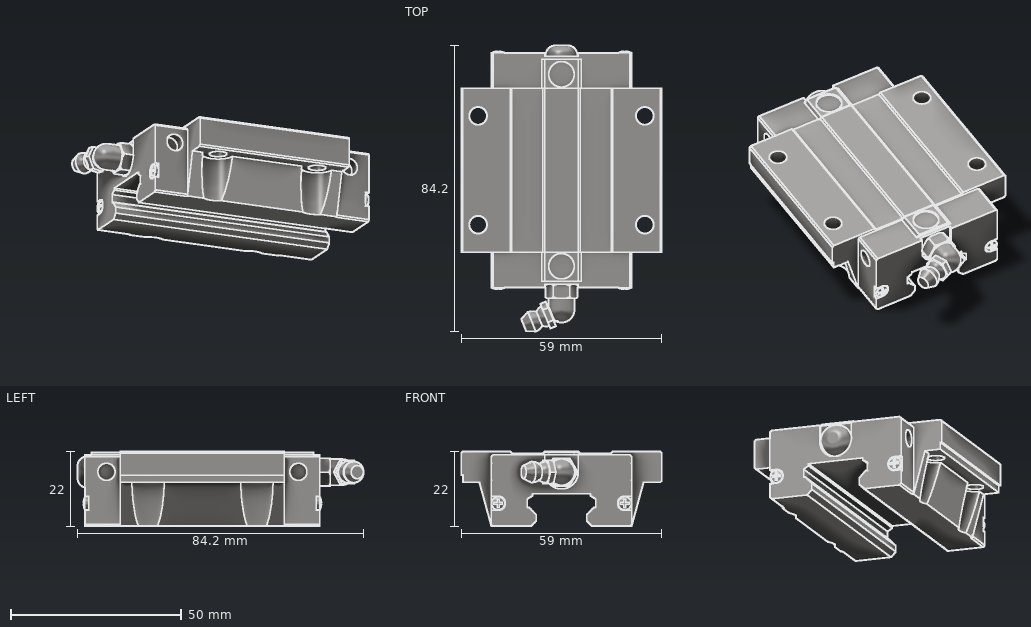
import cadquery as cq
import math


width = 59.0
height = 22.0
block_length = 48.25
body_length = 69.05
edge_chamfer = 0.5

flange_bottom = 12.9
flange_root = 24.2
skirt_foot = 20.6
datum_step_height = 15.0
channel_top_height = 21.5
channel_outer = 15.1
pad_half_width = 5.0
mount_pitch_x = 49.0
mount_pitch_y = 32.0
mount_hole_dia = 5.1
mount_relief_dia = 9.6

groove_top = 9.5
groove_top_half = 8.5
groove_shoulder_height = 8.9
groove_wide_half = 10.0
groove_wide_top = 8.0
groove_wide_bottom = 5.55
groove_ledge_half = 9.5
groove_neck_half = 7.4
groove_neck_top = 3.4
groove_neck_bottom = 1.5
groove_mouth_half = 8.9

cap_half_width = 20.6
cap_height = 21.0
seal_thickness = 1.85
cap_pad_height = 21.7
cap_pad_foot_half = 5.8
cap_pad_top_half = 4.9
port_offset = 28.2
top_port_dia = 7.5
top_port_depth = 0.5
side_port_dia = 5.05
side_port_depth = 3.8
side_port_height = 16.0

fitting_height = 15.9
fitting_pocket_radius = 5.0
fitting_pocket_depth = 1.0

plug_radius = 4.7
plug_end = 36.8
plug_round = 3.0

screw_x = 18.6
screw_z = 6.7
screw_pocket_radius = 2.1
screw_pocket_depth = 1.1
screw_radius = 1.9
screw_rim_height = 1.1
screw_crown_height = 1.6
cross_length = 2.5
cross_width = 0.5
cross_depth = 0.7

nut_flats = 8.25
nut_length = 4.1
nut_chamfer = 0.4
elbow_radius = 3.9
elbow_length = 7.4
nipple_angle = 22.5
nipple_hex_flats = 6.8
nipple_hex_start = 3.4
nipple_hex_end = 5.1
collar_centre = 4.8
collar_radius = 3.2
neck_radius = 2.3
head_distance = 9.4
head_radius = 3.1
tip_distance = 12.0
tip_radius = 1.9

half_width = width / 2
half_body = body_length / 2
half_block = block_length / 2
pocket_floor = half_body - fitting_pocket_depth
ends = (-1, 1)


def bar_along_y(points, start, end):
    """Extrude an outline of (x, z) points from Y = start to Y = end."""
    outline = cq.Workplane("XZ", origin=(0, start, 0)).polyline(points).close()
    return outline.extrude(start - end)


def mirrored(right_half):
    """Complete a symmetric outline from its +X half, listed from top to bottom."""
    return right_half + [(-x, z) for x, z in reversed(right_half)]


def hexagon(plane, flats, length):
    """Hexagonal bar on a plane, with two corners on the plane's local X axis."""
    across_corners = flats / math.cos(math.pi / 6)
    return cq.Workplane(plane).polygon(6, across_corners).extrude(length)


def make_block():
    channel_drop = height - channel_top_height
    step_x = half_width - edge_chamfer
    top = [
        (step_x, height),
        (channel_outer, height),
        (channel_outer - channel_drop, channel_top_height),
        (pad_half_width + channel_drop, channel_top_height),
        (pad_half_width, height),
    ]
    top_outline = top + [(-x, z) for x, z in reversed(top)]
    left_side = [
        (-half_width, height - edge_chamfer),
        (-half_width, datum_step_height),
        (-step_x, datum_step_height),
        (-step_x, flange_bottom),
        (-flange_root, flange_bottom),
        (-skirt_foot, 0),
    ]
    right_side = [
        (skirt_foot, 0),
        (flange_root, flange_bottom),
        (step_x, flange_bottom),
        (half_width, flange_bottom + edge_chamfer),
        (half_width, height - edge_chamfer),
    ]
    block = bar_along_y(top_outline + left_side + right_side, -half_block, half_block)
    mounts = cq.Workplane("XY").rarray(mount_pitch_x, mount_pitch_y, 2, 2)
    block = block.cut(mounts.circle(mount_hole_dia / 2).extrude(height))
    return block.cut(mounts.circle(mount_relief_dia / 2).extrude(flange_bottom))


def make_cap(end):
    """End cap with its raised pad, from the block face out to the cap face."""
    outline = mirrored([
        (cap_half_width - edge_chamfer, cap_height),
        (cap_half_width, cap_height - edge_chamfer),
        (cap_half_width, edge_chamfer),
        (cap_half_width - edge_chamfer, 0),
    ])
    pad = mirrored([(cap_pad_top_half, cap_pad_height), (cap_pad_foot_half, cap_height)])
    pad_end = half_body - seal_thickness
    cap = bar_along_y(outline, half_block, half_body).union(bar_along_y(pad, half_block, pad_end))
    return cap if end > 0 else cap.mirror("XZ")


def make_groove():
    outline = mirrored([
        (groove_top_half, groove_top),
        (groove_top_half, groove_shoulder_height),
        (groove_wide_half, groove_wide_top),
        (groove_wide_half, groove_wide_bottom),
        (groove_ledge_half, groove_wide_bottom),
        (groove_neck_half, groove_neck_top),
        (groove_neck_half, groove_neck_bottom),
        (groove_mouth_half, 0),
    ])
    return bar_along_y(outline, -half_body, half_body)


def make_ports(end):
    """Shallow round recess on top of a cap and a blind hole in each of its sides."""
    y = end * port_offset
    floor = cap_pad_height - top_port_depth
    ports = cq.Workplane("XY", origin=(0, y, floor)).circle(top_port_dia / 2).extrude(top_port_depth)
    for side in ends:
        start = side * cap_half_width
        hole = cq.Workplane("YZ", origin=(start, y, side_port_height)).circle(side_port_dia / 2)
        ports = ports.union(hole.extrude(-side * side_port_depth))
    return ports


def end_plane(end, x, z, y):
    """Plane on an end face, its normal pointing away from the block and its local X along +X."""
    return cq.Plane(origin=(x, end * y, z), xDir=(1, 0, 0), normal=(0, end, 0))


def make_fitting_pocket(end):
    face = cq.Workplane(end_plane(end, 0, fitting_height, pocket_floor))
    pocket = face.circle(fitting_pocket_radius).extrude(fitting_pocket_depth)
    rise = cap_height - fitting_height
    slot = cq.Workplane("XY").box(
        2 * fitting_pocket_radius, fitting_pocket_depth, rise, centered=(True, True, False)
    )
    return pocket.union(slot.translate((0, end * (half_body - fitting_pocket_depth / 2), fitting_height)))


def make_screw_pocket(end, side):
    floor = half_body - screw_pocket_depth
    face = cq.Workplane(end_plane(end, side * screw_x, screw_z, floor))
    pocket = face.circle(screw_pocket_radius).extrude(screw_pocket_depth)
    reach = cap_half_width - screw_x
    opening = cq.Workplane("XY").box(reach, screw_pocket_depth, 2 * screw_pocket_radius)
    middle = (side * (screw_x + reach / 2), end * (half_body - screw_pocket_depth / 2), screw_z)
    return pocket.union(opening.translate(middle))


def make_screw(end, side):
    """Domed screw head with a cross recess, standing on its pocket floor."""
    plane = end_plane(end, side * screw_x, screw_z, half_body - screw_pocket_depth)
    rise = screw_crown_height - screw_rim_height
    crown_radius = (screw_radius**2 + rise**2) / (2 * rise)
    half_crown = math.asin(screw_radius / crown_radius) / 2
    crown_mid = (
        crown_radius * math.sin(half_crown),
        screw_crown_height - crown_radius * (1 - math.cos(half_crown)),
    )
    profile_plane = cq.Plane(plane.origin, plane.xDir, plane.xDir.cross(plane.zDir))
    head = (
        cq.Workplane(profile_plane)
        .lineTo(screw_radius, 0)
        .lineTo(screw_radius, screw_rim_height)
        .threePointArc(crown_mid, (0, screw_crown_height))
        .close()
        .revolve(360, (0, 0, 0), (0, 1, 0))
    )
    recess = cq.Workplane(plane).workplane(offset=screw_crown_height - cross_depth)
    slot = recess.rect(cross_length, cross_width).extrude(cross_depth)
    cross_slot = recess.rect(cross_width, cross_length).extrude(cross_depth)
    return head.cut(slot.union(cross_slot))


def make_plug():
    face = cq.Workplane(end_plane(1, 0, fitting_height, pocket_floor))
    plug = face.circle(plug_radius).extrude(plug_end - pocket_floor)
    return plug.faces(">Y").edges().fillet(plug_round)


def make_elbow():
    """Nut, round stem and ball that carry the angled grease nipple."""
    stem_plane = end_plane(-1, 0, fitting_height, pocket_floor)
    nut = hexagon(stem_plane, nut_flats, nut_length)
    nut_corner_radius = nut_flats / math.cos(math.pi / 6) / 2
    trim = cq.Workplane(stem_plane).circle(nut_corner_radius).extrude(nut_length)
    nut = nut.intersect(trim.faces("<Y or >Y").edges().chamfer(nut_chamfer))
    stem = cq.Workplane(stem_plane).circle(elbow_radius).extrude(elbow_length)
    ball_centre = (0, -pocket_floor - elbow_length, fitting_height)
    ball = cq.Workplane("XY").sphere(elbow_radius).translate(ball_centre)
    return nut.union(stem).union(ball).union(make_nipple(ball_centre))


def make_nipple(ball_centre):
    """Hexagon, neck and conical head on an axis from the ball centre, towards -X and slightly -Y."""
    angle = math.radians(nipple_angle)
    axis = cq.Vector(-math.cos(angle), -math.sin(angle), 0)
    across = cq.Vector(math.sin(angle), -math.cos(angle), 0)
    hex_origin = cq.Vector(*ball_centre) + axis * nipple_hex_start
    hexagon_part = hexagon(
        cq.Plane(hex_origin, across, axis), nipple_hex_flats, nipple_hex_end - nipple_hex_start
    )
    neck_distance = collar_centre + math.sqrt(collar_radius**2 - neck_radius**2)
    half_sweep = math.acos(neck_radius / collar_radius) / 2
    collar_mid_point = (
        collar_radius * math.cos(half_sweep),
        collar_centre + collar_radius * math.sin(half_sweep),
    )
    bulge_length = head_distance - neck_distance
    bulge_drop = head_radius - neck_radius
    arc_radius = (bulge_length**2 + bulge_drop**2) / (2 * bulge_drop)
    half_length = bulge_length / 2
    arc_mid_radius = head_radius - arc_radius + math.sqrt(arc_radius**2 - half_length**2)
    profile_plane = cq.Plane(ball_centre, across, across.cross(axis))
    profile = (
        cq.Workplane(profile_plane)
        .lineTo(neck_radius, 0)
        .lineTo(neck_radius, collar_centre)
        .lineTo(collar_radius, collar_centre)
        .threePointArc(collar_mid_point, (neck_radius, neck_distance))
        .threePointArc((arc_mid_radius, head_distance - half_length), (head_radius, head_distance))
        .lineTo(tip_radius, tip_distance)
        .lineTo(0, tip_distance)
        .close()
    )
    return hexagon_part.union(profile.revolve(360, (0, 0, 0), (0, 1, 0)))


result = make_block()
for end in ends:
    result = result.union(make_cap(end))
result = result.cut(make_groove())
for end in ends:
    result = result.cut(make_ports(end)).cut(make_fitting_pocket(end))
    for side in ends:
        result = result.cut(make_screw_pocket(end, side)).union(make_screw(end, side))
result = result.union(make_plug()).union(make_elbow())